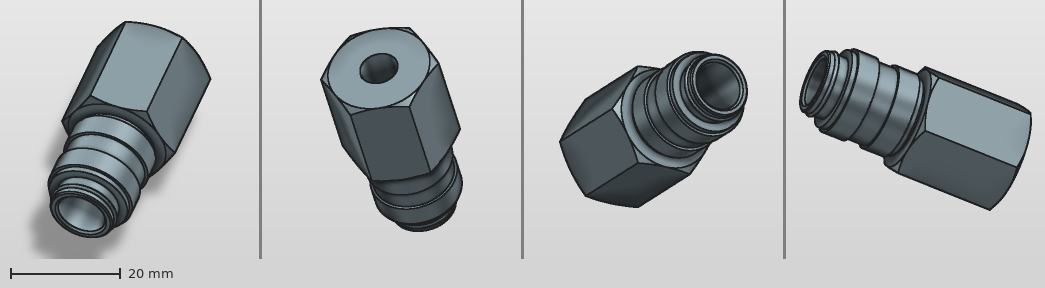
import cadquery as cq
import math

length = 39.5
across_flats = 19.0
across_corners = across_flats / math.cos(math.pi / 6)

hex_start = 19.08
hex_length = length - hex_start
bevel_angle = math.radians(30)

neck_radius = 6.85
barrel_radius = 7.6
collar_radius = 8.15
tip_radius = 6.0
tip_chamfer = 0.28
barrel_start = 3.95
barrel_end = 18.5
collar_inset = 1.05
collar_width = 4.2

ring_center = 1.6
ring_section_radius = 0.4
ring_outer_radius = 6.4

through_radius = 3.5
bore_radius = 4.55
bore_depth = hex_start
bore_chamfer = 0.45


def cylinder(radius, start, end):
    """Solid cylinder on the Y axis between two stations."""
    plane = cq.Workplane("XZ", origin=(0, start, 0))
    return plane.circle(radius).extrude(start - end)


def make_hex_body():
    """Hexagon with corners on X, bevelled to its inscribed circle at both ends."""
    prism = (
        cq.Workplane("XZ", origin=(0, hex_start, 0))
        .polygon(6, across_corners)
        .extrude(-hex_length)
    )
    face_radius = across_flats / 2
    corner_radius = across_corners / 2
    margin = 0.4
    outer_radius = corner_radius + margin
    outer_inset = (outer_radius - face_radius) * math.tan(bevel_angle)
    envelope = (
        cq.Workplane("XY")
        .moveTo(0, hex_start)
        .lineTo(face_radius, hex_start)
        .lineTo(outer_radius, hex_start + outer_inset)
        .lineTo(outer_radius, length - outer_inset)
        .lineTo(face_radius, length)
        .lineTo(0, length)
        .close()
        .revolve(360, (0, 0, 0), (0, 1, 0))
    )
    return prism.intersect(envelope)


def make_sleeve():
    """Tip, barrel with two collars, and the neck joining it to the hexagon."""
    tip = cylinder(tip_radius, 0, barrel_start).faces("<Y").edges().chamfer(tip_chamfer)
    barrel = cylinder(barrel_radius, barrel_start, barrel_end)
    neck = cylinder(neck_radius, barrel_end, hex_start)
    sleeve = tip.union(barrel).union(neck)
    front_collar_start = barrel_start + collar_inset
    rear_collar_start = barrel_end - collar_inset - collar_width
    for start in (front_collar_start, rear_collar_start):
        sleeve = sleeve.union(cylinder(collar_radius, start, start + collar_width))
    return sleeve


def make_ring():
    """Round-section ring partly sunk into the tip."""
    return (
        cq.Workplane("XY")
        .moveTo(ring_outer_radius - ring_section_radius, ring_center)
        .circle(ring_section_radius)
        .revolve(360, (0, 0, 0), (0, 1, 0))
    )


def make_bore():
    """Through hole, wider bore from the tip, and its chamfered mouth."""
    through = cylinder(through_radius, 0, length)
    wide = cylinder(bore_radius, 0, bore_depth)
    mouth = (
        cq.Workplane("XZ")
        .circle(bore_radius + bore_chamfer)
        .workplane(offset=-bore_chamfer)
        .circle(bore_radius)
        .loft()
    )
    return through.union(wide).union(mouth)


result = make_hex_body().union(make_sleeve()).union(make_ring()).cut(make_bore())